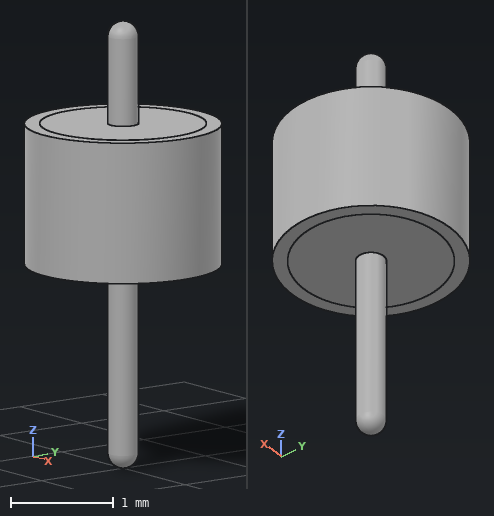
import cadquery as cq

ring_diameter = 1.93
ring_bore = 1.63
ring_height = 1.4
pin_diameter = 0.303
pin_length = 4.45
pin_below_ring = 2.03
hollow_depth = 0.05

bore_radius = ring_bore / 2
pin_radius = pin_diameter / 2


def make_ring():
    """Plain metal sleeve around the glass."""
    return cq.Workplane("XY").circle(ring_diameter / 2).circle(bore_radius).extrude(ring_height)


def make_glass():
    """Glass seal around the pin, its top an annular hollow with an arc section."""
    mid_radius = (pin_radius + bore_radius) / 2
    return (
        cq.Workplane("XZ")
        .moveTo(pin_radius, 0)
        .lineTo(bore_radius, 0)
        .lineTo(bore_radius, ring_height)
        .threePointArc((mid_radius, ring_height - hollow_depth), (pin_radius, ring_height))
        .close()
        .revolve(360, (0, 0), (0, 1))
    )


def make_pin():
    """Straight pin with a hemispherical tip at each end."""
    lower_tip = -pin_below_ring
    upper_tip = lower_tip + pin_length
    tip_flank = pin_radius * 0.5**0.5
    lower_centre = lower_tip + pin_radius
    upper_centre = upper_tip - pin_radius
    return (
        cq.Workplane("XZ")
        .moveTo(0, lower_tip)
        .threePointArc((tip_flank, lower_centre - tip_flank), (pin_radius, lower_centre))
        .lineTo(pin_radius, upper_centre)
        .threePointArc((tip_flank, upper_centre + tip_flank), (0, upper_tip))
        .close()
        .revolve(360, (0, 0), (0, 1))
    )


ring = make_ring()
glass = make_glass()
pin = make_pin()

result = cq.Compound.makeCompound([ring.val(), glass.val(), pin.val()])